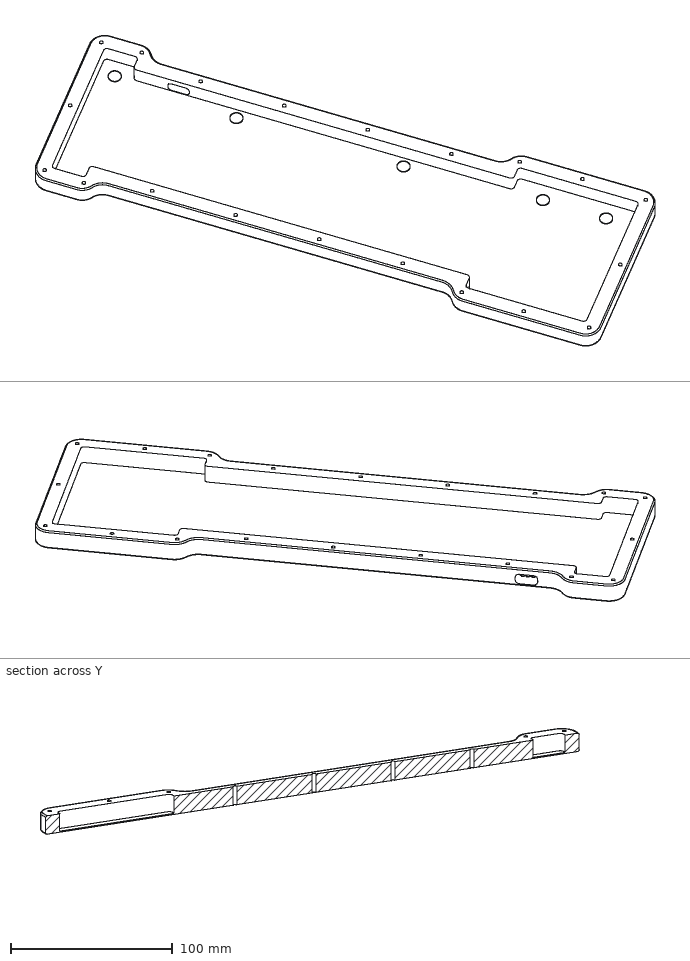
import cadquery as cq
import math

length = 371.5
width = 117.7
height = 12.3
neck_width = 98.8
neck_center_x = -28.5
shoulder_spacing = 236.5
corner_radius = 10.0
edge_chamfer = 0.9

wall = 10.0
pocket_neck_length = 250.0
floor_thickness = 1.0
pocket_corner_radius = 2.2

screw_diameter = 2.2
neck_screw_pitch = 55.0
neck_screw_count = 4
neck_screw_y = 44.5
end_screw_x = 181.0
corner_screw_x = 179.0
corner_screw_y = 52.0
shoulder_screw_spacing = 248.5
shoulder_screw_y = 53.0
wide_end_screw_x = 136.5
wide_end_screw_y = 54.0

recess_diameter = 8.0
recess_depth = 0.55
end_recess_y = 38.2
end_recess_xs = (-165.3, 116.2, 158.0)
neck_recess_y = 33.5
neck_recess_xs = (-83.5, 26.5)

slot_length = 14.0
slot_height = 6.5
slot_corner_radius = 2.5
slot_center_x = -123.5
slot_lift = 0.55

pocket_depth = height - floor_thickness
pocket_neck_width = neck_width - 2 * wall


def make_notch(side):
    """Cutter that narrows the +Y (side 1) or -Y (side -1) edge to the neck.

    Each shoulder is two equal tangent arcs that meet halfway down the step.
    """
    half_width = width / 2
    half_neck = neck_width / 2
    angle = math.acos(1 - (half_width - half_neck) / (2 * corner_radius))
    half_run = corner_radius * math.sin(angle)
    arc_x = corner_radius * math.sin(angle / 2)
    arc_y = corner_radius * (1 - math.cos(angle / 2))
    middle = shoulder_spacing / 2
    middle_y = (half_width + half_neck) / 2

    def point(x, y):
        return (neck_center_x + x, side * y)

    outer = middle + half_run
    inner = middle - half_run
    return (
        cq.Workplane("XY")
        .moveTo(*point(-outer, half_width))
        .threePointArc(point(arc_x - outer, half_width - arc_y), point(-middle, middle_y))
        .threePointArc(point(-inner - arc_x, half_neck + arc_y), point(-inner, half_neck))
        .lineTo(*point(inner, half_neck))
        .threePointArc(point(inner + arc_x, half_neck + arc_y), point(middle, middle_y))
        .threePointArc(point(outer - arc_x, half_width - arc_y), point(outer, half_width))
        .close()
        .extrude(height)
    )


def make_body():
    body = cq.Workplane("XY").box(length, width, height, centered=(True, True, False))
    body = body.edges("|Z").fillet(corner_radius)
    for side in (1, -1):
        body = body.cut(make_notch(side))
    return body.faces("<Z or >Z").edges().chamfer(edge_chamfer)


def make_pocket():
    pocket = (
        cq.Workplane("XY")
        .workplane(offset=floor_thickness)
        .rect(length - 2 * wall, width - 2 * wall)
        .extrude(pocket_depth)
    )
    ledge_width = (width - 2 * wall - pocket_neck_width) / 2
    for side in (1, -1):
        ledge = (
            cq.Workplane("XY")
            .workplane(offset=floor_thickness)
            .center(neck_center_x, side * (pocket_neck_width + ledge_width) / 2)
            .rect(pocket_neck_length, ledge_width)
            .extrude(pocket_depth)
        )
        pocket = pocket.cut(ledge)
    return pocket.edges("|Z").fillet(pocket_corner_radius)


def screw_points():
    points = [(-end_screw_x, 0), (end_screw_x, 0)]
    for side in (1, -1):
        points.append((wide_end_screw_x, side * wide_end_screw_y))
        for end in (1, -1):
            points.append((end * corner_screw_x, side * corner_screw_y))
            shoulder_x = neck_center_x + end * shoulder_screw_spacing / 2
            points.append((shoulder_x, side * shoulder_screw_y))
        for index in range(neck_screw_count):
            offset = (index - (neck_screw_count - 1) / 2) * neck_screw_pitch
            points.append((neck_center_x + offset, side * neck_screw_y))
    return points


def make_screw_holes():
    return cq.Workplane("XY").pushPoints(screw_points()).circle(screw_diameter / 2).extrude(height)


def make_floor_recesses():
    points = [(x, end_recess_y) for x in end_recess_xs]
    points += [(x, neck_recess_y) for x in neck_recess_xs]
    return (
        cq.Workplane("XY")
        .workplane(offset=floor_thickness - recess_depth)
        .pushPoints(points)
        .circle(recess_diameter / 2)
        .extrude(recess_depth)
    )


def make_cable_slot():
    slot_start_y = pocket_neck_width / 2
    slot = cq.Workplane("XY").box(slot_length, wall, slot_height, centered=(True, False, False))
    slot = slot.edges("|Y").fillet(slot_corner_radius)
    return slot.translate((slot_center_x, slot_start_y, floor_thickness + slot_lift))


result = (
    make_body()
    .cut(make_pocket())
    .cut(make_screw_holes())
    .cut(make_floor_recesses())
    .cut(make_cable_slot())
)